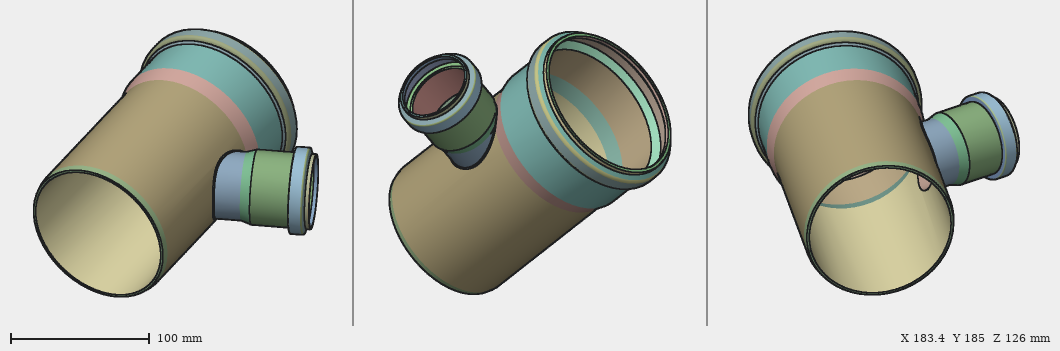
import cadquery as cq
import math

MAIN_LENGTH = 185.0
MAIN_PIPE_OUTER_D = 110.0
MAIN_PIPE_BORE_D = 104.2
MAIN_SOCKET_OUTER_D = 116.2
MAIN_SOCKET_BORE_D = 110.8
MAIN_BEAD_OUTER_D = 126.0
MAIN_GROOVE_D = 121.2
SPIGOT_CHAMFER_LENGTH = 4.6
SPIGOT_TIP_D = 107.9
MAIN_TAPER_START = 121.4
MAIN_TAPER_END = 132.6
MAIN_BEAD_START = 165.5
MAIN_BEAD_END = 181.9
MAIN_BEAD_CHAMFER = 4.5
MAIN_BEAD_ROUND = 3.0

BRANCH_ANGLE = 22.5
BRANCH_ORIGIN_Y = 74.7
BRANCH_LENGTH = 119.1
BRANCH_PIPE_OUTER_D = 50.0
BRANCH_PIPE_BORE_D = 46.0
BRANCH_SOCKET_OUTER_D = 54.8
BRANCH_SOCKET_BORE_D = 51.0
BRANCH_BEAD_OUTER_D = 63.5
BRANCH_GROOVE_D = 60.3
BRANCH_TAPER_START = BRANCH_LENGTH - 50.5
BRANCH_TAPER_END = BRANCH_LENGTH - 43.1
BRANCH_BEAD_START = BRANCH_LENGTH - 15.0
BRANCH_BEAD_END = BRANCH_LENGTH - 3.1
BRANCH_BEAD_CHAMFER_LOW = 1.1
BRANCH_BEAD_CHAMFER_HIGH = 2.5
BRANCH_BEAD_ROUND_LOW = 1.0
BRANCH_BEAD_ROUND_HIGH = 1.5

UPPER_FLANK_ANGLE = 60
LIP_EDGE_HEIGHT = 0.7
LIP_EDGE_INSET = 0.2
SEAM_CHAMFER = 0.7


def revolve_about_y(stations):
    """Solid of revolution about Y from (diameter, distance along Y) pairs."""
    outline = [(diameter / 2, y) for diameter, y in stations]
    points = [(0, outline[0][1])] + outline + [(0, outline[-1][1])]
    return cq.Workplane("XY").polyline(points).close().revolve(360, (0, 0), (0, 1))


def bore_profile(pipe_d, socket_d, groove_d, taper, bead, chamfers, length):
    """Stations of a bore: pipe, taper, socket and the seal groove with sloping flanks."""
    return [
        (pipe_d, 0),
        (pipe_d, taper[0]),
        (socket_d, taper[1]),
        (socket_d, bead[0]),
        (groove_d, bead[0] + chamfers[0]),
        (groove_d, bead[1] - chamfers[1]),
        (socket_d, bead[1]),
        (socket_d, length),
    ]


def revolve_socket(pipe, socket_d, bead_d, taper, bead, chamfers, roundings, lip, length):
    """Outer body: pipe stations, taper, socket, rounded bead and a lip eased at the mouth."""
    pipe_end_r = pipe[-1][0] / 2
    socket_r = socket_d / 2
    bead_r = bead_d / 2
    lower_round, upper_round = roundings
    lip_height, lip_inset = lip
    flat_start = bead[0] + chamfers[0]
    flat_end = bead[1] - chamfers[1]

    def upper_point(angle):
        """Point on the upper bead rounding, turned by angle from the flat."""
        turn = math.radians(angle)
        r = bead_r - upper_round * (1 - math.cos(turn))
        return (r, flat_end + upper_round * math.sin(turn))

    outline = cq.Workplane("XY").moveTo(0, pipe[0][1])
    for diameter, y in pipe:
        outline = outline.lineTo(diameter / 2, y)
    half = math.sqrt(0.5)
    lower_middle = (bead_r - lower_round * (1 - half), flat_start - lower_round * half)
    return (
        outline.lineTo(pipe_end_r, taper[0])
        .lineTo(socket_r, taper[1])
        .lineTo(socket_r, bead[0])
        .lineTo(bead_r - lower_round, flat_start - lower_round)
        .threePointArc(lower_middle, (bead_r, flat_start))
        .lineTo(bead_r, flat_end)
        .threePointArc(upper_point(UPPER_FLANK_ANGLE / 2), upper_point(UPPER_FLANK_ANGLE))
        .lineTo(socket_r, bead[1])
        .lineTo(socket_r, length - lip_height)
        .lineTo(socket_r - lip_inset, length)
        .lineTo(0, length)
        .close()
        .revolve(360, (0, 0), (0, 1))
    )


def place_branch(body):
    """Tilt a body from the Y axis into the branch direction and move it to its origin."""
    tilted = body.rotate((0, 0, 0), (0, 0, 1), BRANCH_ANGLE - 90)
    return tilted.translate((0, BRANCH_ORIGIN_Y, 0))


main_taper = (MAIN_TAPER_START, MAIN_TAPER_END)
main_bead = (MAIN_BEAD_START, MAIN_BEAD_END)
main_chamfers = (MAIN_BEAD_CHAMFER, MAIN_BEAD_CHAMFER)
main_outside = revolve_socket(
    [(SPIGOT_TIP_D, 0), (MAIN_PIPE_OUTER_D, SPIGOT_CHAMFER_LENGTH)],
    MAIN_SOCKET_OUTER_D, MAIN_BEAD_OUTER_D, main_taper, main_bead, main_chamfers,
    (MAIN_BEAD_ROUND, MAIN_BEAD_ROUND), (LIP_EDGE_HEIGHT, LIP_EDGE_INSET), MAIN_LENGTH,
)
main_bore = revolve_about_y(bore_profile(
    MAIN_PIPE_BORE_D, MAIN_SOCKET_BORE_D, MAIN_GROOVE_D,
    main_taper, main_bead, main_chamfers, MAIN_LENGTH,
))

branch_taper = (BRANCH_TAPER_START, BRANCH_TAPER_END)
branch_bead = (BRANCH_BEAD_START, BRANCH_BEAD_END)
branch_chamfers = (BRANCH_BEAD_CHAMFER_LOW, BRANCH_BEAD_CHAMFER_HIGH)
branch_outside = place_branch(revolve_socket(
    [(BRANCH_PIPE_OUTER_D, 0)],
    BRANCH_SOCKET_OUTER_D, BRANCH_BEAD_OUTER_D, branch_taper, branch_bead, branch_chamfers,
    (BRANCH_BEAD_ROUND_LOW, BRANCH_BEAD_ROUND_HIGH),
    (LIP_EDGE_HEIGHT, LIP_EDGE_INSET), BRANCH_LENGTH,
))
branch_bore = place_branch(revolve_about_y(bore_profile(
    BRANCH_PIPE_BORE_D, BRANCH_SOCKET_BORE_D, BRANCH_GROOVE_D,
    branch_taper, branch_bead, branch_chamfers, BRANCH_LENGTH,
)))

outside = main_outside.union(branch_outside)
outside = outside.edges("not(%CIRCLE or %LINE)").chamfer(SEAM_CHAMFER)

result = outside.cut(main_bore).cut(branch_bore)